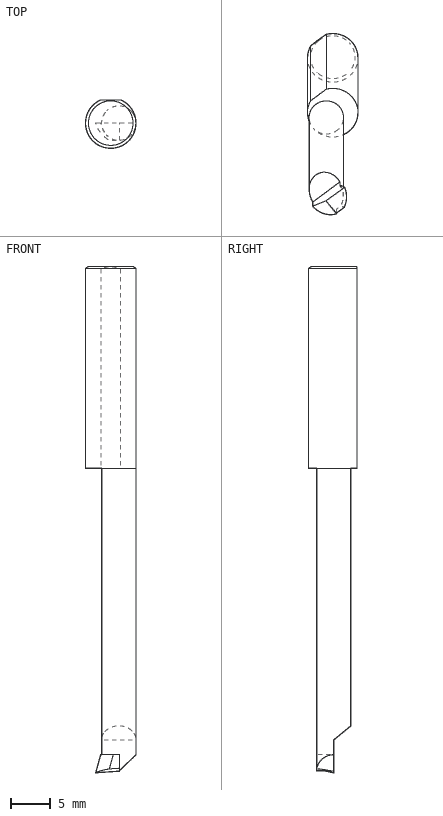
import cadquery as cq

LENGTH = 63.5
SHANK_RADIUS = 3.2
SHANK_FLAT_Y = 2.9
SHANK_BOTTOM_Z = 38.15
TOP_CHAMFER_WIDTH = 0.4
TOP_CHAMFER_HEIGHT = 0.25

NECK_RADIUS = 2.15
NECK_X = SHANK_RADIUS - NECK_RADIUS

RUNOUT_BOTTOM_Z = 4.1
RUNOUT_TOP_Z = 5.9

HEAD_TOP_Z = 2.3
TIP_X = -1.9
HEAD_LEAN = 0.65
HEAD_HEEL_X = -0.3
HEAD_RIGHT_X = 1.1
FLANK_BULGE = 0.2
END_RELIEF = 0.4
END_TILT = 4.0
END_CHAMFER_Z = 0.25


def make_shank():
    shank = (
        cq.Workplane("XY")
        .workplane(offset=SHANK_BOTTOM_Z)
        .circle(SHANK_RADIUS)
        .extrude(LENGTH - SHANK_BOTTOM_Z)
        .faces(">Z")
        .chamfer(TOP_CHAMFER_HEIGHT, TOP_CHAMFER_WIDTH)
    )
    flat_cutter = (
        cq.Workplane("XY")
        .box(2 * SHANK_RADIUS, SHANK_RADIUS, LENGTH, centered=(True, False, False))
        .translate((0, SHANK_FLAT_Y, 0))
    )
    return shank.cut(flat_cutter)


def make_neck():
    neck = cq.Workplane("XY").center(NECK_X, 0).circle(NECK_RADIUS).extrude(SHANK_BOTTOM_Z)

    rake_cutter = (
        cq.Workplane("YZ")
        .polyline([
            (0, 0),
            (0, RUNOUT_BOTTOM_Z),
            (NECK_RADIUS, RUNOUT_TOP_Z),
            (NECK_RADIUS, 0),
        ])
        .close()
        .extrude(SHANK_RADIUS, both=True)
    )

    end_cutter = (
        cq.Workplane("XZ")
        .polyline([
            (-SHANK_RADIUS, 0),
            (-SHANK_RADIUS, HEAD_TOP_Z),
            (HEAD_RIGHT_X, HEAD_TOP_Z),
            (HEAD_RIGHT_X, END_CHAMFER_Z),
            (SHANK_RADIUS, HEAD_TOP_Z),
            (SHANK_RADIUS, 0),
        ])
        .close()
        .extrude(SHANK_RADIUS, both=True)
    )
    return neck.cut(rake_cutter).cut(end_cutter)


def head_section(workplane, lean):
    """Draw the head outline with its curved flank shifted along X."""
    tip_x = TIP_X + lean
    heel_x = HEAD_HEEL_X + lean
    flank_middle = ((tip_x + heel_x) / 2 - FLANK_BULGE, -NECK_RADIUS / 2 - FLANK_BULGE)
    return (
        workplane
        .moveTo(tip_x, 0)
        .threePointArc(flank_middle, (heel_x, -NECK_RADIUS))
        .lineTo(HEAD_RIGHT_X, -NECK_RADIUS)
        .lineTo(HEAD_RIGHT_X, 0)
        .close()
    )


def make_head():
    lower = head_section(cq.Workplane("XY"), 0)
    upper = head_section(lower.workplane(offset=HEAD_TOP_Z), HEAD_LEAN)
    head = upper.loft(ruled=True, combine=True)
    relief_cutter = (
        cq.Workplane("YZ")
        .polyline([
            (0, 0),
            (-NECK_RADIUS, END_RELIEF),
            (-NECK_RADIUS, -NECK_RADIUS),
            (0, -NECK_RADIUS),
        ])
        .close()
        .extrude(SHANK_RADIUS, both=True)
        .rotate((TIP_X, 0, 0), (TIP_X, 1, 0), -END_TILT)
    )
    return head.cut(relief_cutter)


result = make_shank().union(make_neck()).union(make_head())